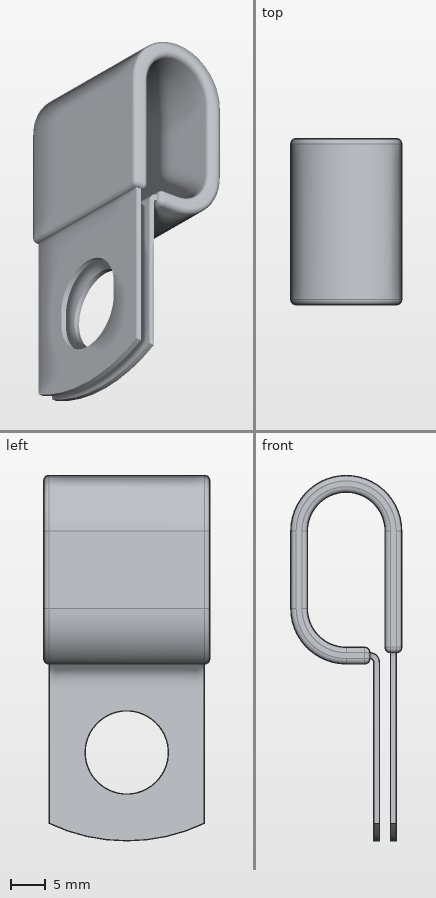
import cadquery as cq
import math

total_height = 52.35
cushion_width = 23.85
loop_outer_radius = 7.95
loop_straight = 11.1
strip_thickness = 0.85
cushion_cover = 0.8
edge_radius = 0.8
lower_flat = 3.4
leg_gap = 1.55
hole_diameter = 11.9
hole_height = 12.65
slot_length = 13.9
tip_rise = 2.5

cushion_thickness = strip_thickness + 2 * cushion_cover
strip_width = cushion_width - 2 * cushion_cover
mid_radius = loop_outer_radius - cushion_thickness / 2
upper_center_z = total_height - loop_outer_radius
lower_center_z = upper_center_z - loop_straight
lower_mid_z = lower_center_z - mid_radius
cushion_end_z = lower_mid_z + strip_thickness / 2
inner_leg_outer_x = mid_radius - strip_thickness / 2 - leg_gap
bend_outer_radius = inner_leg_outer_x - lower_flat
bend_center_z = cushion_end_z - bend_outer_radius


def cushion_loop():
    """Square-edged cushion following the loop, centred on Y = 0."""
    outer = loop_outer_radius
    inner = outer - cushion_thickness
    diagonal = math.sqrt(0.5)
    return (
        cq.Workplane("XZ")
        .moveTo(outer, cushion_end_z)
        .lineTo(outer, upper_center_z)
        .threePointArc((0, upper_center_z + outer), (-outer, upper_center_z))
        .lineTo(-outer, lower_center_z)
        .threePointArc(
            (-outer * diagonal, lower_center_z - outer * diagonal),
            (0, lower_center_z - outer),
        )
        .lineTo(lower_flat, lower_center_z - outer)
        .lineTo(lower_flat, lower_center_z - inner)
        .lineTo(0, lower_center_z - inner)
        .threePointArc(
            (-inner * diagonal, lower_center_z - inner * diagonal),
            (-inner, lower_center_z),
        )
        .lineTo(-inner, upper_center_z)
        .threePointArc((0, upper_center_z + inner), (inner, upper_center_z))
        .lineTo(inner, cushion_end_z)
        .close()
        .extrude(cushion_width / 2, both=True)
    )


def leg(outer_x, top_z, opening_height):
    """Flat leg with a rounded tip and a bolt opening; outer_x is its +X face.

    The opening is a round hole, or an upright slot when taller than its width.
    """
    half_width = strip_width / 2
    plate = (
        cq.Workplane("YZ", origin=(outer_x - strip_thickness, 0, 0))
        .moveTo(-half_width, top_z)
        .lineTo(-half_width, tip_rise)
        .threePointArc((0, 0), (half_width, tip_rise))
        .lineTo(half_width, top_z)
        .close()
        .extrude(strip_thickness)
    )
    opening = cq.Workplane("YZ", origin=(outer_x - strip_thickness, 0, hole_height))
    if opening_height > hole_diameter:
        opening = opening.slot2D(opening_height, hole_diameter, 90)
    else:
        opening = opening.circle(hole_diameter / 2)
    return plate.cut(opening.extrude(strip_thickness))


def strip_bend():
    """Quarter bend turning the strip from the loop's lower flat into the inner leg."""
    bend_inner_radius = bend_outer_radius - strip_thickness
    ring = (
        cq.Workplane("XZ", origin=(lower_flat, 0, bend_center_z))
        .circle(bend_outer_radius)
        .circle(bend_inner_radius)
        .extrude(strip_width / 2, both=True)
    )
    quadrant = cq.Workplane("XY", origin=(lower_flat, 0, bend_center_z)).box(
        bend_outer_radius, strip_width, bend_outer_radius, centered=(False, True, False)
    )
    return ring.intersect(quadrant)


end_edges = (
    cq.selectors.BoxSelector(
        (0, -cushion_width, cushion_end_z - cushion_cover / 2),
        (loop_outer_radius * 2, cushion_width, cushion_end_z + cushion_cover / 2),
    )
    + cq.selectors.BoxSelector(
        (lower_flat - cushion_cover / 2, -cushion_width, 0),
        (lower_flat + cushion_cover / 2, cushion_width, cushion_end_z + cushion_cover * 2),
    )
)
rim_edges = cq.selectors.StringSyntaxSelector("(>Y) or (<Y)")
cushion = cushion_loop()
cushion = cushion.edges(end_edges + rim_edges).fillet(edge_radius)

outer_leg = leg(mid_radius + strip_thickness / 2, cushion_end_z, slot_length)
inner_leg = leg(inner_leg_outer_x, bend_center_z, hole_diameter)
result = cushion.union(outer_leg).union(strip_bend()).union(inner_leg)